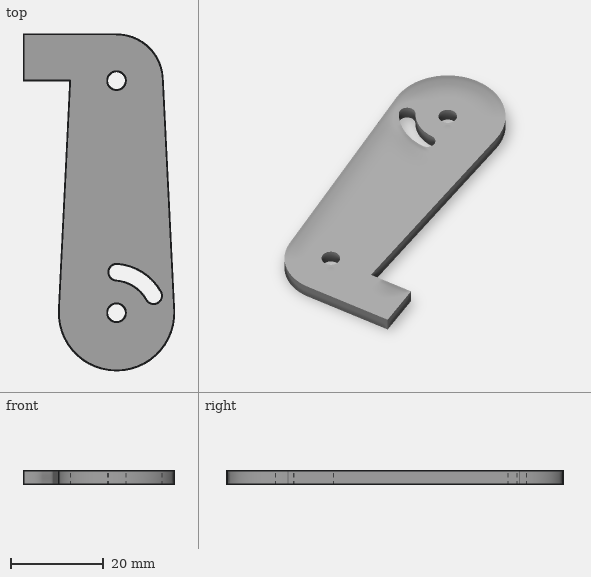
import cadquery as cq
import math

thickness = 3.0
tip_radius = 10.0
pivot_radius = 12.45
center_distance = 50.0
arm_reach = 20.0
hole_diameter = 4.0
slot_center = (-0.7, -1.2)
slot_radius = 10.0
slot_width = 3.55
slot_start_angle = 29.4
slot_end_angle = 85.6

tip_y = center_distance
tip_center = (0, tip_y)


def polar(radius, angle, center=(0, 0)):
    """Point at an angle in degrees on a circle about the given centre."""
    a = math.radians(angle)
    return (center[0] + radius * math.cos(a), center[1] + radius * math.sin(a))


def make_body():
    """Tapered plate whose straight sides are tangent to both round ends."""
    tangent_angle = math.degrees(math.asin((pivot_radius - tip_radius) / center_distance))
    left_angle = 180 - tangent_angle
    return (
        cq.Workplane("XY")
        .moveTo(*polar(pivot_radius, tangent_angle))
        .lineTo(*polar(tip_radius, tangent_angle, tip_center))
        .threePointArc((0, tip_y + tip_radius), polar(tip_radius, left_angle, tip_center))
        .lineTo(*polar(pivot_radius, left_angle))
        .threePointArc((0, -pivot_radius), polar(pivot_radius, tangent_angle))
        .close()
        .extrude(thickness)
    )


def make_arm():
    """Square-ended side arm reaching toward -X, flush with the top of the tip."""
    return (
        cq.Workplane("XY")
        .moveTo(-arm_reach, tip_y)
        .lineTo(0, tip_y)
        .lineTo(0, tip_y + tip_radius)
        .lineTo(-arm_reach, tip_y + tip_radius)
        .close()
        .extrude(thickness)
    )


def make_holes():
    """Cutters for the through holes at the two end centres."""
    return (
        cq.Workplane("XY")
        .pushPoints([(0, 0), tip_center])
        .circle(hole_diameter / 2)
        .extrude(thickness)
    )


def make_slot():
    """Cutter for the round-ended slot that curves around the pivot hole."""
    end_radius = slot_width / 2
    inner = slot_radius - end_radius
    outer = slot_radius + end_radius
    middle_angle = (slot_start_angle + slot_end_angle) / 2
    start_cap_center = polar(slot_radius, slot_start_angle, slot_center)
    end_cap_center = polar(slot_radius, slot_end_angle, slot_center)
    return (
        cq.Workplane("XY")
        .moveTo(*polar(outer, slot_start_angle, slot_center))
        .threePointArc(polar(outer, middle_angle, slot_center), polar(outer, slot_end_angle, slot_center))
        .threePointArc(
            polar(end_radius, slot_end_angle + 90, end_cap_center),
            polar(inner, slot_end_angle, slot_center),
        )
        .threePointArc(polar(inner, middle_angle, slot_center), polar(inner, slot_start_angle, slot_center))
        .threePointArc(
            polar(end_radius, slot_start_angle - 90, start_cap_center),
            polar(outer, slot_start_angle, slot_center),
        )
        .close()
        .extrude(thickness)
    )


result = make_body().union(make_arm()).cut(make_holes()).cut(make_slot())